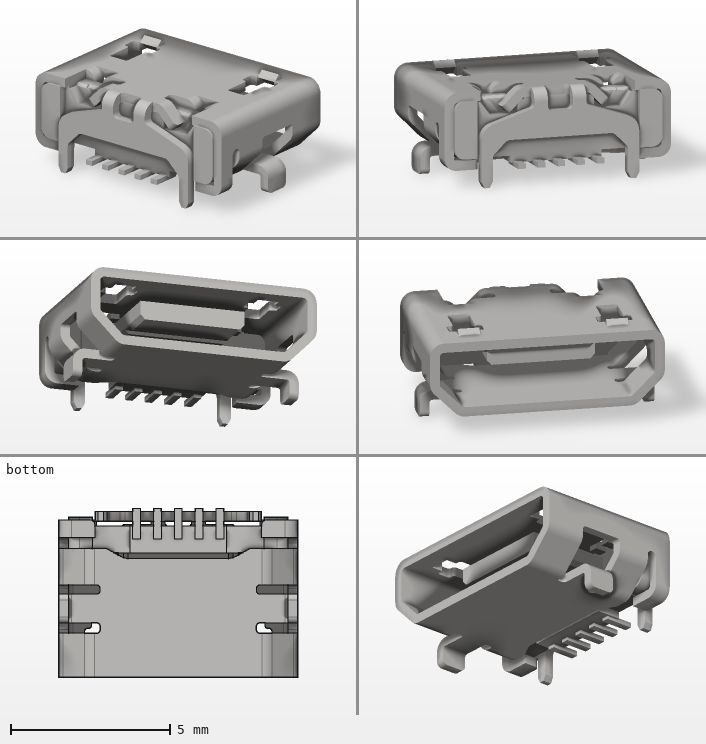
import cadquery as cq
import math


width = 7.5
shell_top = 2.5
shell_depth = 4.94
sheet = 0.31
bend = 0.45
tight_bend = 0.405
solder_depth = 0.56

half_width = width / 2
inner_half = half_width - sheet
ceiling = shell_top - sheet
inner_bend = tight_bend - sheet
solder_z = -solder_depth

front_floor = 0.02
taper = 0.94
wing_depth = 0.555
front_start = 0.9
side_opening_top = 1.44
wing_tip = 2.62
wing_tip_radius = 0.15
floor_top = front_floor + sheet

window_start = 2.04
window_end = 3.555
window_radius = 0.11
leg_start = 2.33
leg_end = 3.23
leg_radius = 0.19
leg_root = 2.45

barb_inner = 2.025
barb_outer = 2.715
barb_peak_y = 4.15
barb_height = 0.17
barb_sink = 0.03
opening_start = 2.41
opening_end = barb_peak_y - barb_height
opening_radius = 0.09
ear_inner = 1.815
ear_outer = 2.94
ear_start = 3.405
ear_end = 3.9
ear_radius = 0.1

notch_outer = 2.56
notch_end = 1.455
curl_start = 1.035
curl_inner = 1.485
curl_end_z = 2.025
relief_inner = 0.885
relief_start = 0.62
relief_radius = 0.135
finger_root = 1.05
finger_overlap = 0.075
finger_bend_x = 1.21
finger_drop = 0.58
finger_tip_radius = 0.15

flap_rear = -0.26
flap_neck = 0.86
flap_neck_radius = 0.15
flap_shoulder = 1.905
flap_shoulder_outer = 1.335
flap_half = 2.61
flap_shoulder_radius = 0.525
flap_bottom = 0.93
post_inner = 2.24
post_taper_height = 0.19
post_taper_width = 0.1
arch_chamfer = 0.48
arch_radius = 0.225
flap_slot = 0.41
flap_slot_bottom = 1.78
flap_slot_end = 0.225
flap_slot_radius = 0.15

flap_front = flap_rear + sheet
bend_start = flap_rear + tight_bend

lobe_rear = -0.08
lobe_inner = 2.69
lobe_bottom = 0.36
lobe_top = 2.22
lobe_radius = 0.34
core_rear = 0.19
core_front = curl_start
tail_half = 1.51
tail_bottom = 0.105
tail_notch_half = 2.25
tail_notch_inner = 1.67
tail_notch_radius = 0.54
tail_notch_end = 1.215
pocket_floor = 1.67
pocket_slope = 0.39
pocket_depth_y = 0.555
pocket_bevel = 0.08
deep_top_x = 2.15
deep_depth_y = 0.64
pocket_inner = 1.26
pocket_chamfer = 0.17
tongue_half = 1.725
tongue_bottom = 1.29
tongue_thickness = 0.6
tongue_end = 3.86
tongue_bevel = 0.15
tongue_groove_start = 2.28
tongue_groove_end = 2.7
tongue_groove_depth = 0.11

contact_count = 5
contact_pitch = 0.65
contact_width = 0.25
contact_height = 0.165
contact_rear = -0.36
contact_front = 0.6

ROUND = 0.999


def outline(plane, corners):
    """Closed outline through (u, v) or (u, v, radius) corners; a radius rounds the corner."""
    path = []
    for i, corner in enumerate(corners):
        u, v = corner[:2]
        if len(corner) == 2:
            path.append([(u, v)])
            continue
        before = corners[i - 1]
        after = corners[(i + 1) % len(corners)]
        a = cq.Vector(before[0] - u, before[1] - v).normalized()
        b = cq.Vector(after[0] - u, after[1] - v).normalized()
        half_angle = a.getAngle(b) / 2
        tangent = corner[2] / math.tan(half_angle)
        to_arc = corner[2] / math.sin(half_angle) - corner[2]
        middle = (a + b).normalized() * to_arc
        points = (a * tangent, middle, b * tangent)
        path.append([(u + p.x, v + p.y) for p in points])
    wire = plane.moveTo(*path[0][-1])
    for piece in path[1:] + path[:1]:
        wire = wire.lineTo(*piece[0])
        if len(piece) == 3:
            wire = wire.threePointArc(piece[1], piece[2])
    return wire.wire()


def prism_x(corners, x0, x1):
    return outline(cq.Workplane("YZ", origin=(x0, 0, 0)), corners).extrude(x1 - x0)


def prism_y(corners, y0, y1):
    return outline(cq.Workplane("XZ", origin=(0, y0, 0)), corners).extrude(y0 - y1)


def prism_z(corners, z0, z1):
    return outline(cq.Workplane("XY", origin=(0, 0, z0)), corners).extrude(z1 - z0)


def box(x0, x1, y0, y1, z0, z1):
    return prism_z([(x0, y0), (x1, y0), (x1, y1), (x0, y1)], z0, z1)


def both_sides(left):
    return left.union(left.mirror("YZ"))


def sleeve(corners, y0, y1):
    """Open-ended sheet tube with the given outer outline."""
    return prism_y(corners, y0, y1).faces("|Y").shell(-sheet)


def shell_tube():
    top = [(half_width, shell_top, bend), (-half_width, shell_top, bend)]
    slope_top = front_floor + taper
    slope_foot = half_width - taper
    tapered = top + [
        (-half_width, slope_top, bend),
        (-slope_foot, front_floor, bend),
        (slope_foot, front_floor, bend),
        (half_width, slope_top, bend),
    ]
    straight = top + [(-half_width, 0, tight_bend), (half_width, 0, tight_bend)]
    rear = sleeve(straight, 0, front_start)

    rear_floor_gap = box(-wing_tip, wing_tip, 0, wing_depth, 0, sheet)
    slot_radius = (front_start - wing_depth) / 2
    side_slot = prism_x(
        [
            (wing_depth, 0),
            (front_start, 0),
            (front_start, side_opening_top, slot_radius * ROUND),
            (wing_depth, side_opening_top, slot_radius * ROUND),
        ],
        -half_width,
        half_width,
    )
    rear = rear.cut(rear_floor_gap).cut(side_slot)
    for side in (-1, 1):
        wing_corner = cq.selectors.NearestToPointSelector((side * wing_tip, 0, sheet / 2))
        rear = rear.edges(wing_corner).fillet(wing_tip_radius)

    floor_notch = prism_z(
        [
            (-tail_notch_half, front_start),
            (-tail_notch_inner, tail_notch_end, tail_notch_radius),
            (tail_notch_inner, tail_notch_end, tail_notch_radius),
            (tail_notch_half, front_start),
        ],
        front_floor,
        floor_top,
    )
    front = sleeve(tapered, front_start, shell_depth).cut(floor_notch)
    return front.union(rear)


def window():
    """Side window with the narrow reliefs that run into the floor beside the leg."""
    relief_width = window_end - leg_end
    opening = prism_x(
        [
            (window_start, 0),
            (window_end, 0),
            (window_end, side_opening_top, window_radius),
            (window_start, side_opening_top, window_radius),
        ],
        -half_width,
        -leg_root - relief_width / 2,
    )
    for y0, y1 in ((window_start, leg_start), (leg_end, window_end)):
        relief = prism_z(
            [
                (-half_width, y0),
                (-leg_root, y0, window_radius),
                (-leg_root, y1, window_radius),
                (-half_width, y1),
            ],
            0,
            floor_top,
        )
        opening = opening.union(relief)
    return opening


def leg():
    """Floor tab that turns down outside the taper into a solder leg."""
    bent = prism_y(
        [
            (-leg_root, front_floor),
            (-leg_root, floor_top),
            (-half_width, floor_top, tight_bend),
            (-half_width, solder_z),
            (-inner_half, solder_z),
            (-inner_half, front_floor, inner_bend),
        ],
        leg_start,
        leg_end,
    )
    return bent.faces("<Z").edges("|X").fillet(leg_radius)


def barb_opening():
    """Stepped opening that also undercuts the barb along its 45 degree slope."""
    opening = prism_z(
        [
            (-barb_outer, opening_end),
            (-barb_inner, opening_end),
            (-barb_inner, ear_end),
            (-ear_inner, ear_end, ear_radius),
            (-ear_inner, ear_start, ear_radius),
            (-barb_inner, ear_start, ear_radius),
            (-barb_inner, opening_start, opening_radius),
            (-barb_outer, opening_start, opening_radius),
            (-barb_outer, ear_start, ear_radius),
            (-ear_outer, ear_start, ear_radius),
            (-ear_outer, ear_end, ear_radius),
            (-barb_outer, ear_end),
        ],
        ceiling,
        shell_top,
    )
    undercut = prism_x(
        [
            (opening_end, shell_top),
            (opening_end + sheet, ceiling),
            (opening_end, ceiling),
        ],
        -barb_outer,
        -barb_inner,
    )
    return opening.union(undercut)


def barb():
    half_length = barb_height + barb_sink
    ridge = [
        (barb_peak_y - half_length, shell_top - barb_sink),
        (barb_peak_y, shell_top + barb_height),
        (barb_peak_y + half_length, shell_top - barb_sink),
    ]
    return prism_x(ridge, -barb_outer, -barb_inner)


def rear_notch():
    return prism_z(
        [
            (-notch_outer, notch_end),
            (-curl_inner, notch_end),
            (-curl_inner, curl_start),
            (-relief_inner, curl_start, relief_radius),
            (-relief_inner, relief_start, relief_radius),
            (-finger_root, relief_start),
            (-finger_root, bend_start),
            (0, bend_start),
            (0, 0),
            (-notch_outer, 0),
        ],
        ceiling,
        shell_top,
    )


def curl(root_x, direction):
    """Short tab rolled down from the edge of the notch at root_x."""
    tip = root_x + direction * tight_bend
    return prism_y(
        [
            (root_x, shell_top),
            (tip, shell_top, tight_bend * ROUND),
            (tip, curl_end_z),
            (tip - direction * sheet, curl_end_z),
            (tip - direction * sheet, ceiling),
            (root_x, ceiling),
        ],
        curl_start,
        notch_end,
    )


def finger():
    """Tab bent 45 degrees down and outwards from the middle of the top sheet."""
    diagonal = sheet * math.sqrt(0.5)
    root_x = -finger_root + finger_overlap
    tip_x = -finger_bend_x - finger_drop
    tip_z = shell_top - finger_drop
    lower_x = tip_x + diagonal
    lower_z = tip_z - diagonal
    bent = prism_y(
        [
            (root_x, shell_top),
            (-finger_bend_x, shell_top, tight_bend),
            (tip_x, tip_z),
            (lower_x, lower_z),
            (lower_x + ceiling - lower_z, ceiling),
            (root_x, ceiling),
        ],
        bend_start,
        relief_start,
    )
    tip_corner = ((tip_x + lower_x) / 2, bend_start, (tip_z + lower_z) / 2)
    return bent.edges(cq.selectors.NearestToPointSelector(tip_corner)).fillet(finger_tip_radius)


def flap():
    left = [
        (-flap_neck, shell_top - tight_bend),
        (-flap_neck, flap_shoulder, flap_neck_radius),
        (-flap_half, flap_shoulder_outer, flap_shoulder_radius),
        (-flap_half, solder_z + post_taper_height),
        (-flap_half + post_taper_width, solder_z),
        (-post_inner - post_taper_width, solder_z),
        (-post_inner, solder_z + post_taper_height),
        (-post_inner, flap_bottom - arch_chamfer, arch_radius),
        (-post_inner + arch_chamfer, flap_bottom, arch_radius),
    ]
    right = [(-corner[0],) + corner[1:] for corner in reversed(left)]
    plate = prism_y(left + right, flap_rear, flap_front)

    turn = prism_x(
        [
            (bend_start, shell_top),
            (flap_rear, shell_top, tight_bend * ROUND),
            (flap_rear, shell_top - tight_bend),
            (flap_front, shell_top - tight_bend),
            (flap_front, ceiling, inner_bend * ROUND),
            (bend_start, ceiling),
        ],
        -flap_neck,
        flap_neck,
    )
    return plate.union(turn)


def flap_slot_cut():
    """Slot that splits the bend into two straps."""
    through_flap = prism_y(
        [
            (-flap_slot, shell_top),
            (-flap_slot, flap_slot_bottom, flap_slot_radius),
            (flap_slot, flap_slot_bottom, flap_slot_radius),
            (flap_slot, shell_top),
        ],
        flap_rear,
        bend_start,
    )
    into_top = prism_z(
        [
            (-flap_slot, flap_front),
            (-flap_slot, flap_slot_end, flap_slot_radius),
            (flap_slot, flap_slot_end, flap_slot_radius),
            (flap_slot, flap_front),
        ],
        ceiling,
        shell_top,
    )
    return through_flap.union(into_top)


def lobe():
    """Side lobe that fills the rear wing of the shell."""
    return prism_y(
        [
            (-inner_half, lobe_bottom, lobe_radius),
            (-inner_half, lobe_top, lobe_radius),
            (-lobe_inner, lobe_top),
            (-lobe_inner, lobe_bottom),
        ],
        lobe_rear,
        front_start,
    )


def pocket_step(top_x, bevel_inner, depth_y):
    """One step of the finger pocket: sloped side, chamfered inner wall, bevelled front edge."""
    recess = prism_y(
        [
            (-top_x, ceiling),
            (-top_x + pocket_slope, pocket_floor),
            (-pocket_inner, pocket_floor),
            (-pocket_inner, ceiling - pocket_chamfer),
            (-pocket_inner + pocket_chamfer, ceiling),
        ],
        core_rear,
        depth_y,
    )
    bevel = prism_x(
        [
            (core_rear, ceiling),
            (depth_y + pocket_bevel, ceiling),
            (depth_y, ceiling - pocket_bevel),
            (core_rear, ceiling - pocket_bevel),
        ],
        -top_x,
        -bevel_inner,
    )
    return recess.union(bevel)


def pocket():
    """Pocket that leaves room under the bent finger, deeper towards the middle."""
    shallow = pocket_step(notch_outer, pocket_inner, pocket_depth_y)
    return shallow.union(pocket_step(deep_top_x, finger_root, deep_depth_y))


def tongue():
    top = tongue_bottom + tongue_thickness
    flat_half = tongue_half - tongue_bevel
    blade = prism_y(
        [
            (-tongue_half, top),
            (-tongue_half, tongue_bottom + tongue_bevel),
            (-flat_half, tongue_bottom),
            (flat_half, tongue_bottom),
            (tongue_half, tongue_bottom + tongue_bevel),
            (tongue_half, top),
        ],
        core_front,
        tongue_end,
    )
    groove = box(
        -tongue_half,
        tongue_half,
        tongue_groove_start,
        tongue_groove_end,
        tongue_bottom,
        tongue_bottom + tongue_groove_depth,
    )
    return blade.cut(groove)


def insulator():
    core = box(-lobe_inner, lobe_inner, core_rear, core_front, floor_top, ceiling)
    tail = box(-tail_half, tail_half, core_rear, core_front, tail_bottom, floor_top)
    body = core.union(tail).cut(both_sides(pocket()))
    return body.union(both_sides(lobe())).union(tongue())


def contacts():
    row = cq.Workplane("XY")
    for i in range(contact_count):
        x = (i - (contact_count - 1) / 2) * contact_pitch
        left = x - contact_width / 2
        row = row.union(box(left, left + contact_width, contact_rear, contact_front, 0, contact_height))
    return row


openings = window().union(barb_opening()).union(rear_notch())
tabs = leg().union(barb()).union(finger())
tabs = tabs.union(curl(-notch_outer, 1)).union(curl(-curl_inner, -1))

shell = shell_tube().cut(both_sides(openings)).union(both_sides(tabs))
shell = shell.union(flap()).cut(flap_slot_cut())

result = shell.union(insulator()).union(contacts()).clean()